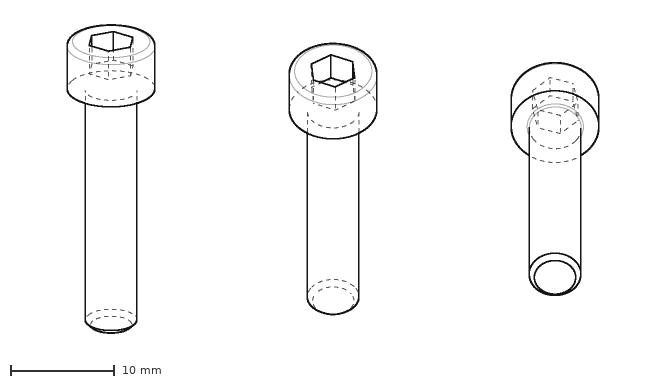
import cadquery as cq
import math

total_length = 30.0
head_diameter = 8.5
head_height = 5.0
head_edge_radius = 0.5
shank_diameter = 5.0
shank_length = total_length - head_height
neck_fillet_radius = 0.2
tip_chamfer_height = 0.5
tip_chamfer_width = 0.5
socket_across_flats = 4.0
socket_depth = 3.0


def make_head():
    head = cq.Workplane("XY").circle(head_diameter / 2).extrude(head_height)
    return head.faces(">Z").edges().fillet(head_edge_radius)


def make_shank():
    shank = cq.Workplane("XY").circle(shank_diameter / 2).extrude(-shank_length)
    return shank.faces("<Z").edges().chamfer(tip_chamfer_height, tip_chamfer_width)


def make_neck_fillet():
    """Concave ring that blends the shank into the underside of the head."""
    shank_radius = shank_diameter / 2
    outer_radius = shank_radius + neck_fillet_radius
    arc_offset = neck_fillet_radius * (1 - math.sqrt(0.5))
    return (
        cq.Workplane("XZ")
        .lineTo(outer_radius, 0)
        .threePointArc(
            (shank_radius + arc_offset, -arc_offset),
            (shank_radius, -neck_fillet_radius),
        )
        .lineTo(0, -neck_fillet_radius)
        .close()
        .revolve(360, (0, 0, 0), (0, 1, 0))
    )


def make_socket():
    """Hexagonal key socket with two flats facing along Y."""
    across_corners = socket_across_flats / math.cos(math.pi / 6)
    return (
        cq.Workplane("XY")
        .workplane(offset=head_height)
        .polygon(6, across_corners)
        .extrude(-socket_depth)
    )


result = make_head().union(make_shank()).union(make_neck_fillet()).cut(make_socket())